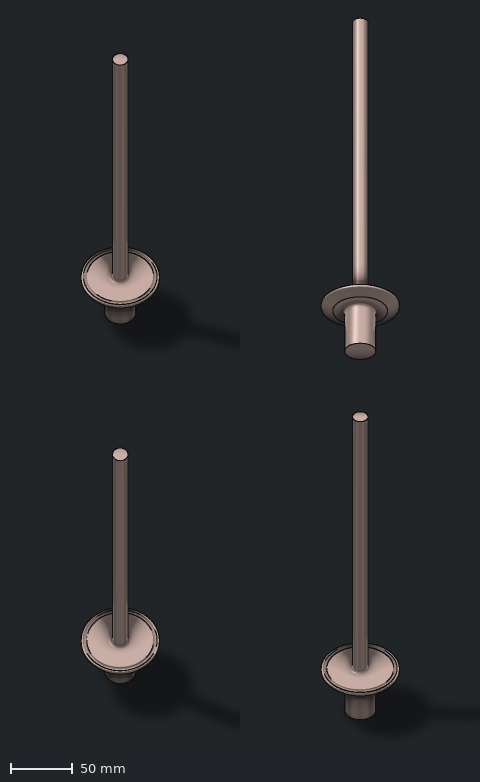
import cadquery as cq
import math

total_length = 311.15
flange_diameter = 63.5
rod_diameter = 12.7
body_diameter = 25.4

flange_top = 44.45
rim_thickness = 2.85
cone_angle = 20.0
flange_thickness = 6.35
rim_fillet = 0.75

rod_fillet = 3.175
body_fillet = 3.0

groove_inner_radius = 27.0
groove_outer_radius = 29.8
groove_depth = 1.6
groove_edge_fillet = 0.6

rod_radius = rod_diameter / 2
body_radius = body_diameter / 2
flange_radius = flange_diameter / 2


def make_revolved_blank():
    """Body, conical-backed flange and rod as one revolved outline."""
    flange_bottom = flange_top - flange_thickness
    cone_top = flange_top - rim_thickness
    cone_run = (cone_top - flange_bottom) / math.tan(math.radians(cone_angle))
    arc_inset = 1 - math.sqrt(0.5)
    body_arc_mid = (
        body_radius + body_fillet * arc_inset,
        flange_bottom - body_fillet * arc_inset,
    )
    rod_arc_mid = (
        rod_radius + rod_fillet * arc_inset,
        flange_top + rod_fillet * arc_inset,
    )
    outline = (
        cq.Workplane("XZ")
        .lineTo(body_radius, 0)
        .lineTo(body_radius, flange_bottom - body_fillet)
        .threePointArc(body_arc_mid, (body_radius + body_fillet, flange_bottom))
        .lineTo(flange_radius - cone_run, flange_bottom)
        .lineTo(flange_radius, cone_top)
        .lineTo(flange_radius, flange_top)
        .lineTo(rod_radius + rod_fillet, flange_top)
        .threePointArc(rod_arc_mid, (rod_radius, flange_top + rod_fillet))
        .lineTo(rod_radius, total_length)
        .lineTo(0, total_length)
        .close()
    )
    return outline.revolve(360, (0, 0), (0, 1))


def round_rim(blank):
    """Round the upper and lower edges of the flange rim."""
    rim_edges = cq.selectors.RadiusNthSelector(-1)
    return blank.edges("%CIRCLE").edges(rim_edges).fillet(rim_fillet)


def cut_gasket_groove(blank):
    """Cut a round-bottomed ring groove in the sealing face and round its two edges."""
    middle_radius = (groove_inner_radius + groove_outer_radius) / 2
    section = (
        cq.Workplane("XZ")
        .moveTo(groove_inner_radius, flange_top)
        .threePointArc((middle_radius, flange_top - groove_depth), (groove_outer_radius, flange_top))
        .close()
    )
    groove = section.revolve(360, (0, 0), (0, 1))
    outer_edge = cq.selectors.RadiusNthSelector(-2)
    inner_edge = cq.selectors.RadiusNthSelector(-3)
    groove_edges = outer_edge + inner_edge
    return blank.cut(groove).edges("%CIRCLE").edges(groove_edges).fillet(groove_edge_fillet)


result = round_rim(cut_gasket_groove(make_revolved_blank()))